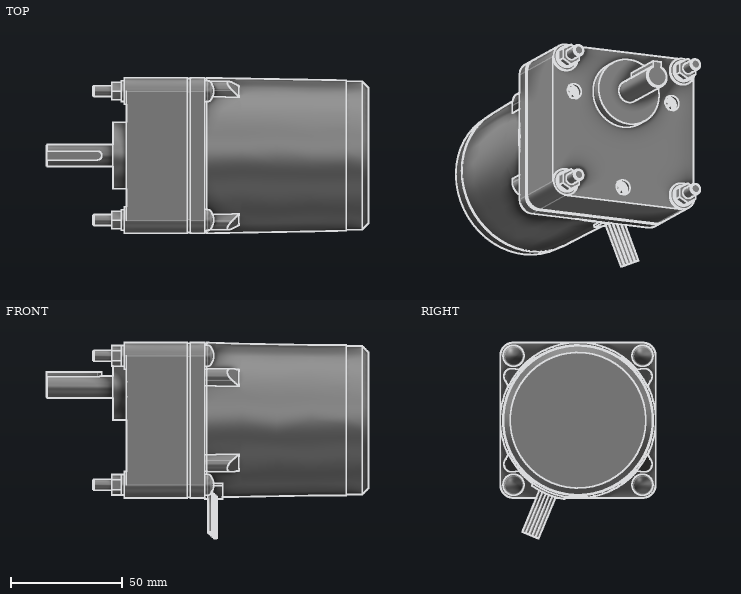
import cadquery as cq
import math


GEARBOX_LENGTH = 27.5
SPACER_THICKNESS = 1.3
FLANGE_THICKNESS = 6.5
REGISTER_THICKNESS = 0.9
TAPER_END = 99.0
CAP_LENGTH = 10.0
FLANGE_START = GEARBOX_LENGTH + SPACER_THICKNESS
FLANGE_END = FLANGE_START + FLANGE_THICKNESS
TAPER_START = FLANGE_END + REGISTER_THICKNESS
CAP_END = TAPER_END + CAP_LENGTH

HOUSING_SIZE = 70.0
HOUSING_CORNER_RADIUS = 6.0
SPACER_INSET = 0.3
PAD_HEIGHT = 1.0

TAPER_START_RADIUS = HOUSING_SIZE / 2
REGISTER_RADIUS = 34.6
TAPER_END_RADIUS = 33.9
CAP_RADIUS = 33.5
CAP_CHAMFER = 3.0

SHAFT_OFFSET = 15.0
BOSS_DIAMETER = 30.0
BOSS_HEIGHT = 6.0
SHAFT_DIAMETER = 10.0
SHAFT_LENGTH = 30.0
SHAFT_CHAMFER = 0.5
SHAFT_TIP = -(BOSS_HEIGHT + SHAFT_LENGTH)
KEY_WIDTH = 4.0
KEY_HEIGHT = 4.5
KEY_LENGTH = 25.0
KEY_BASE = 2.3

BOLT_OFFSET = HOUSING_SIZE / 2 - HOUSING_CORNER_RADIUS
CORNERS = [(y * BOLT_OFFSET, z * BOLT_OFFSET) for y in (-1, 1) for z in (-1, 1)]
BOLT_DIAMETER = 5.0
BOLT_TIP = -15.0
BOLT_CHAMFER = 0.5
WASHER_DIAMETER = 9.4
WASHER_THICKNESS = 1.3
NUT_ACROSS_FLATS = 8.0
NUT_THICKNESS = 4.3
HEAD_RADIUS = 4.75
HEAD_RIM = 1.1
HEAD_SHOULDER = 2.6
HEAD_SHOULDER_RADIUS = 4.1
HEAD_ROUND_X = 2.0
HEAD_ROUND_RADIUS = 4.55
HEAD_HEIGHT = 4.0

SCREW_CIRCLE_RADIUS = 28.0
SCREW_ANGLES = (30, 150, 270)
SCREW_HOLE_DIAMETER = 6.8
SCREW_HOLE_DEPTH = 3.0
SCREW_HEAD_DIAMETER = 5.0
SCREW_HEAD_HEIGHT = 1.8
SCREW_HEAD_RIM = 0.4
SCREW_RECESS_LENGTH = 4.0
SCREW_RECESS_WIDTH = 0.8
SCREW_RECESS_DEPTH = 1.0

RIB_ANGLE = 33.5
RIB_NOSE_RADIUS = 3.5
RIB_NOSE_OFFSET = 35.8
RIB_FLANK_ANGLE = 26.0
RIB_ROOT_OFFSET = 31.0
RIB_REGISTER_STEP = 0.4
RIB_END_AT_NOSE = 45.4
RIB_END_SLOPE = 48.0

CABLE_ANGLE = 22.5
OUTLET_RADIUS = 36.0
OUTLET_WIDTH = 16.0
OUTLET_LENGTH = 8.0
OUTLET_ROOT = 25.0
WIRE_COUNT = 5
WIRE_DIAMETER = 1.6
WIRE_ROW_WIDTH = 8.0
WIRE_ROW_DEPTH = 4.1
WIRE_ROW_START = 36.7
WIRE_END = 56.0


def cylinder_x(x_start, x_end, radius, y=0.0, z=0.0):
    """Cylinder along X between two stations."""
    return cq.Workplane("YZ", origin=(x_start, y, z)).circle(radius).extrude(x_end - x_start)


def rounded_block(x_start, x_end, size):
    """Square housing block with rounded long edges."""
    block = cq.Workplane("YZ", origin=(x_start, 0, 0)).rect(size, size).extrude(x_end - x_start)
    return block.edges("|X").fillet(HOUSING_CORNER_RADIUS)


def face_recess():
    """Space in front of the mounting face, bounded at its corners by the round pads."""
    side = HOUSING_SIZE / 2
    pad_inner = BOLT_OFFSET - HOUSING_CORNER_RADIUS * math.cos(math.radians(45))
    return (
        cq.Workplane("YZ", origin=(-PAD_HEIGHT, 0, 0))
        .moveTo(side, -BOLT_OFFSET)
        .lineTo(side, BOLT_OFFSET)
        .threePointArc((pad_inner, pad_inner), (BOLT_OFFSET, side))
        .lineTo(-BOLT_OFFSET, side)
        .threePointArc((-pad_inner, pad_inner), (-side, BOLT_OFFSET))
        .lineTo(-side, -BOLT_OFFSET)
        .threePointArc((-pad_inner, -pad_inner), (-BOLT_OFFSET, -side))
        .lineTo(BOLT_OFFSET, -side)
        .threePointArc((pad_inner, -pad_inner), (side, -BOLT_OFFSET))
        .close()
        .extrude(PAD_HEIGHT)
    )


def housing():
    """Gearbox with raised corner pads, inset spacer plate and motor flange."""
    gearbox = rounded_block(-PAD_HEIGHT, GEARBOX_LENGTH, HOUSING_SIZE)
    gearbox = gearbox.cut(face_recess())
    spacer = rounded_block(GEARBOX_LENGTH, FLANGE_START, HOUSING_SIZE - 2 * SPACER_INSET)
    flange = rounded_block(FLANGE_START, FLANGE_END, HOUSING_SIZE)
    return gearbox.union(spacer).union(flange)


def motor_body():
    """Register disc, tapered body and chamfered end cap, turned about X."""
    outline = [
        (FLANGE_END, 0),
        (FLANGE_END, REGISTER_RADIUS),
        (TAPER_START, REGISTER_RADIUS),
        (TAPER_START, TAPER_START_RADIUS),
        (TAPER_END, TAPER_END_RADIUS),
        (TAPER_END, CAP_RADIUS),
        (CAP_END - CAP_CHAMFER, CAP_RADIUS),
        (CAP_END, CAP_RADIUS - CAP_CHAMFER),
        (CAP_END, 0),
    ]
    return cq.Workplane("XY").polyline(outline).close().revolve(360, (0, 0, 0), (1, 0, 0))


def output_shaft():
    """Round boss and shaft with a key that has a round inner end."""
    boss = cylinder_x(-BOSS_HEIGHT, 0, BOSS_DIAMETER / 2, z=SHAFT_OFFSET)
    shaft = cylinder_x(SHAFT_TIP, -BOSS_HEIGHT, SHAFT_DIAMETER / 2, z=SHAFT_OFFSET)
    shaft = shaft.faces("<X").chamfer(SHAFT_CHAMFER)
    key_half = KEY_WIDTH / 2
    key_end = SHAFT_TIP + KEY_LENGTH
    key = (
        cq.Workplane("XY", origin=(0, 0, SHAFT_OFFSET + KEY_BASE))
        .moveTo(SHAFT_TIP, -key_half)
        .lineTo(key_end - key_half, -key_half)
        .threePointArc((key_end, 0), (key_end - key_half, key_half))
        .lineTo(SHAFT_TIP, key_half)
        .close()
        .extrude(KEY_HEIGHT)
    )
    return boss.union(shaft).union(key)


def bolt_head():
    """Domed bolt head on the back of the flange, turned about X."""
    dome_height = HEAD_HEIGHT - HEAD_SHOULDER
    dome_radius = (HEAD_SHOULDER_RADIUS**2 + dome_height**2) / (2 * dome_height)
    return (
        cq.Workplane("XY")
        .moveTo(FLANGE_END, 0)
        .lineTo(FLANGE_END, HEAD_RADIUS)
        .lineTo(FLANGE_END + HEAD_RIM, HEAD_RADIUS)
        .threePointArc(
            (FLANGE_END + HEAD_ROUND_X, HEAD_ROUND_RADIUS),
            (FLANGE_END + HEAD_SHOULDER, HEAD_SHOULDER_RADIUS),
        )
        .radiusArc((FLANGE_END + HEAD_HEIGHT, 0), dome_radius)
        .close()
        .revolve(360, (0, 0, 0), (1, 0, 0))
    )


def corner_bolt():
    """Washer, nut, stud and head of one corner bolt, on the X axis."""
    washer_front = -(PAD_HEIGHT + WASHER_THICKNESS)
    nut_front = washer_front - NUT_THICKNESS
    nut_across_corners = NUT_ACROSS_FLATS / math.cos(math.radians(30))
    washer = cylinder_x(washer_front, -PAD_HEIGHT, WASHER_DIAMETER / 2)
    nut = (
        cq.Workplane("YZ", origin=(nut_front, 0, 0))
        .polygon(6, nut_across_corners)
        .extrude(NUT_THICKNESS)
        .rotate((0, 0, 0), (1, 0, 0), 90)
    )
    stud = cylinder_x(BOLT_TIP, nut_front, BOLT_DIAMETER / 2).faces("<X").chamfer(BOLT_CHAMFER)
    return washer.union(nut).union(stud).union(bolt_head())


def cover_screw_hole():
    """Space around one sunk screw: a hole less the domed, cross-recessed head at its floor."""
    head_top = SCREW_HOLE_DEPTH - SCREW_HEAD_HEIGHT
    hole = cylinder_x(0, SCREW_HOLE_DEPTH, SCREW_HOLE_DIAMETER / 2)
    head_radius = SCREW_HEAD_DIAMETER / 2
    dome_height = SCREW_HEAD_HEIGHT - SCREW_HEAD_RIM
    dome_radius = (head_radius**2 + dome_height**2) / (2 * dome_height)
    dome = cq.Workplane("YZ").sphere(dome_radius).translate((head_top + dome_radius, 0, 0))
    head = cylinder_x(head_top, SCREW_HOLE_DEPTH, head_radius).intersect(dome)
    for angle in (45, -45):
        slot = (
            cq.Workplane("YZ", origin=(head_top, 0, 0))
            .rect(SCREW_RECESS_LENGTH, SCREW_RECESS_WIDTH)
            .extrude(SCREW_RECESS_DEPTH)
            .rotate((0, 0, 0), (1, 0, 0), angle)
        )
        head = head.cut(slot)
    return hole.cut(head)


def rib_bar(x_start, x_end, nose_radius):
    """Straight bar of the rib's section: a round nose between flanks that widen inwards."""
    flank = math.radians(RIB_FLANK_ANGLE)
    tangent_y = RIB_NOSE_OFFSET + nose_radius * math.sin(flank)
    tangent_z = nose_radius * math.cos(flank)
    root_z = tangent_z + (tangent_y - RIB_ROOT_OFFSET) * math.tan(flank)
    return (
        cq.Workplane("YZ", origin=(x_start, 0, 0))
        .moveTo(RIB_ROOT_OFFSET, -root_z)
        .lineTo(tangent_y, -tangent_z)
        .threePointArc((RIB_NOSE_OFFSET + nose_radius, 0), (tangent_y, tangent_z))
        .lineTo(RIB_ROOT_OFFSET, root_z)
        .close()
        .extrude(x_end - x_start)
    )


def wedge_rib():
    """Rib standing out along +Y, stepped in at the register and cut off at a slope."""
    nose_y = RIB_NOSE_OFFSET + RIB_NOSE_RADIUS
    slope = math.tan(math.radians(RIB_END_SLOPE))
    end_at_root = RIB_END_AT_NOSE + slope * (nose_y - RIB_ROOT_OFFSET)
    bar = rib_bar(TAPER_START, end_at_root, RIB_NOSE_RADIUS)
    side_profile = [
        (RIB_END_AT_NOSE, nose_y),
        (end_at_root, nose_y),
        (end_at_root, RIB_ROOT_OFFSET),
    ]
    end_cut = cq.Workplane("XY").polyline(side_profile).close().extrude(nose_y, both=True)
    register_bar = rib_bar(FLANGE_END, TAPER_START, RIB_NOSE_RADIUS - RIB_REGISTER_STEP)
    return bar.cut(end_cut).union(register_bar)


def cable():
    """Cable outlet and a slanted row of wires, built downwards and turned to its angle."""
    assembly = cylinder_x(FLANGE_END, FLANGE_END + OUTLET_LENGTH, OUTLET_RADIUS).intersect(
        cq.Workplane("XY", origin=(FLANGE_END + OUTLET_LENGTH / 2, 0, -OUTLET_RADIUS))
        .rect(OUTLET_LENGTH, OUTLET_WIDTH)
        .extrude(OUTLET_RADIUS - OUTLET_ROOT)
    )
    step_x = (WIRE_ROW_DEPTH - WIRE_DIAMETER) / (WIRE_COUNT - 1)
    step_y = (WIRE_ROW_WIDTH - WIRE_DIAMETER) / (WIRE_COUNT - 1)
    first_x = WIRE_ROW_START + WIRE_DIAMETER / 2
    first_y = -(WIRE_ROW_WIDTH - WIRE_DIAMETER) / 2
    for index in range(WIRE_COUNT):
        wire = (
            cq.Workplane("XY", origin=(first_x + index * step_x, first_y + index * step_y, -WIRE_END))
            .circle(WIRE_DIAMETER / 2)
            .extrude(WIRE_END - OUTLET_ROOT)
        )
        assembly = assembly.union(wire)
    return assembly.rotate((0, 0, 0), (1, 0, 0), -CABLE_ANGLE)


part = housing().union(motor_body()).union(output_shaft())

bolt = corner_bolt()
for y, z in CORNERS:
    part = part.union(bolt.translate((0, y, z)))

rib = wedge_rib()
for angle in (RIB_ANGLE, -RIB_ANGLE, 180 - RIB_ANGLE, 180 + RIB_ANGLE):
    part = part.union(rib.rotate((0, 0, 0), (1, 0, 0), angle))

part = part.union(cable())

screw_hole = cover_screw_hole()
for angle in SCREW_ANGLES:
    screw_y = SCREW_CIRCLE_RADIUS * math.cos(math.radians(angle))
    screw_z = SCREW_CIRCLE_RADIUS * math.sin(math.radians(angle))
    part = part.cut(screw_hole.translate((0, screw_y, screw_z)))

result = part